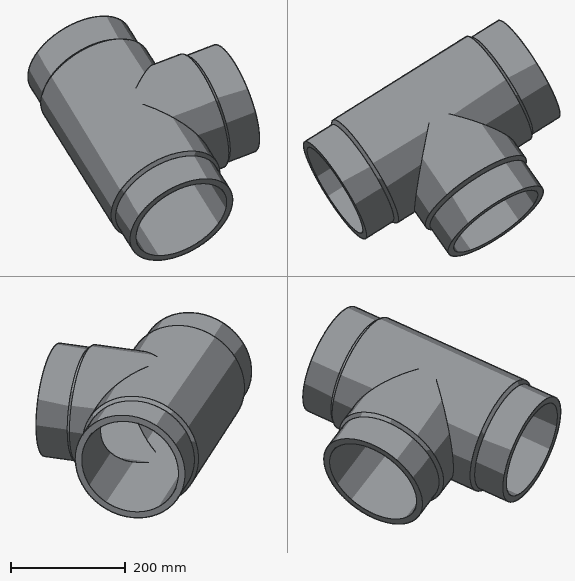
import cadquery as cq

run_length = 405.0
branch_length = run_length / 2
body_diameter = 212.0
spigot_diameter = 200.0
bore_diameter = 176.0
spigot_length = 57.0

body_radius = body_diameter / 2
spigot_radius = spigot_diameter / 2
shoulder_step = body_radius - spigot_radius

body_length = run_length - 2 * spigot_length
run_body = (
    cq.Workplane("YZ")
    .circle(body_radius)
    .extrude(body_length / 2, both=True)
    .faces("<X or >X")
    .chamfer(shoulder_step)
)
run_spigots = cq.Workplane("YZ").circle(spigot_radius).extrude(run_length / 2, both=True)
run_bore = cq.Workplane("YZ").circle(bore_diameter / 2).extrude(run_length / 2, both=True)

branch_body = (
    cq.Workplane("XZ")
    .circle(body_radius)
    .extrude(-(branch_length - spigot_length))
    .faces(">Y")
    .chamfer(shoulder_step)
)
branch_spigot = cq.Workplane("XZ").circle(spigot_radius).extrude(-branch_length)
branch_bore = cq.Workplane("XZ").circle(bore_diameter / 2).extrude(-branch_length)

run = run_body.union(run_spigots)
branch = branch_body.union(branch_spigot)
result = run.union(branch).cut(run_bore).cut(branch_bore)